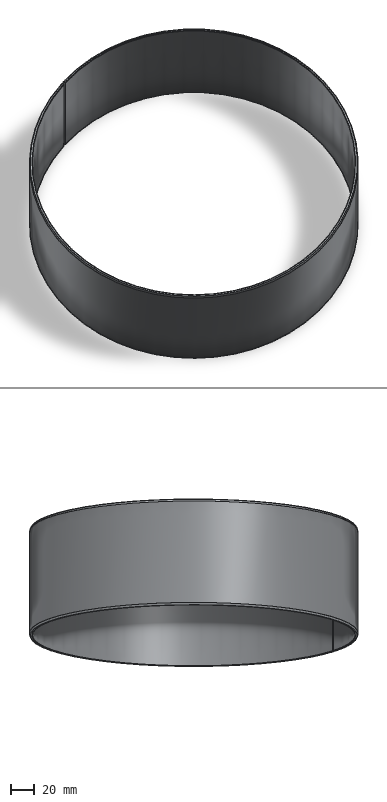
import cadquery as cq

outer_diameter = 275.0
wall_thickness = 2.5
height = 90.0
outer_chamfer_height = 1.8
outer_chamfer_depth = 0.7
inner_chamfer = 0.35
gap_angle = 0.9

outer_radius = outer_diameter / 2
inner_radius = outer_radius - wall_thickness
outer_rim_radius = outer_radius - outer_chamfer_depth
inner_rim_radius = inner_radius + inner_chamfer
sweep_angle = 360.0 - gap_angle


def make_wall_section():
    """Wall cross-section on the -X side: steep outer chamfers and small 45 degree inner ones."""
    outline = [
        (-inner_rim_radius, 0),
        (-outer_rim_radius, 0),
        (-outer_radius, outer_chamfer_height),
        (-outer_radius, height - outer_chamfer_height),
        (-outer_rim_radius, height),
        (-inner_rim_radius, height),
        (-inner_radius, height - inner_chamfer),
        (-inner_radius, inner_chamfer),
    ]
    return cq.Workplane("XZ").polyline(outline).close()


def make_split_ring():
    """Ring turned about Z from -X through -Y, +X and +Y, leaving the split on the +Y side of -X."""
    axis_start = (0, 0, 0)
    axis_end = (0, 1, 0)
    return make_wall_section().revolve(sweep_angle, axis_start, axis_end)


result = make_split_ring()